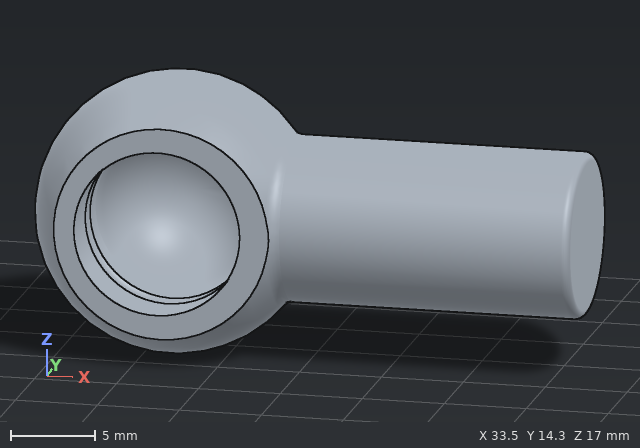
import cadquery as cq
import math

overall_length = 33.5
ball_diameter = 17.0
shank_diameter = 10.0
shank_end_round = 0.5
neck_fillet = 1.0
socket_diameter = 10.0
face_distance = 5.5
face_tilt = 2.5
groove_front_y = -2.7
groove_back_y = -1.45
groove_depth = 0.35

ball_radius = ball_diameter / 2
shank_radius = shank_diameter / 2
socket_radius = socket_diameter / 2
shank_end_x = overall_length - ball_radius


def make_body():
    """Ball, neck fillet and shank revolved about the X axis, ball centre at the origin."""
    fillet_center_y = shank_radius + neck_fillet
    fillet_center_x = math.sqrt((ball_radius + neck_fillet) ** 2 - fillet_center_y ** 2)
    tangent_share = ball_radius / (ball_radius + neck_fillet)
    ball_tangent = (fillet_center_x * tangent_share, fillet_center_y * tangent_share)

    tangent_angle = math.atan2(-fillet_center_y, -fillet_center_x)
    middle_angle = (tangent_angle - math.pi / 2) / 2
    fillet_middle = (
        fillet_center_x + neck_fillet * math.cos(middle_angle),
        fillet_center_y + neck_fillet * math.sin(middle_angle),
    )

    return (
        cq.Workplane("XY")
        .moveTo(-ball_radius, 0)
        .threePointArc((0, ball_radius), ball_tangent)
        .threePointArc(fillet_middle, (fillet_center_x, shank_radius))
        .lineTo(shank_end_x - shank_end_round, shank_radius)
        .radiusArc((shank_end_x, shank_radius - shank_end_round), shank_end_round)
        .lineTo(shank_end_x, 0)
        .close()
        .revolve(360, (0, 0, 0), (1, 0, 0))
    )


def cut_flat_face(body):
    """Cut the ball with a slightly tilted plane, leaving the shank whole."""
    cutter = (
        cq.Workplane("XY")
        .box(ball_diameter, ball_diameter, ball_diameter)
        .translate((0, -face_distance - ball_radius, 0))
        .rotate((0, 0, 0), (0, 0, 1), face_tilt)
    )
    return body.cut(cutter)


def make_socket():
    """Round-bottomed bore along Y with a ring groove in its wall."""
    bore = (
        cq.Workplane("XY")
        .moveTo(0, -ball_radius)
        .lineTo(socket_radius, -ball_radius)
        .lineTo(socket_radius, 0)
        .radiusArc((0, socket_radius), -socket_radius)
        .close()
        .revolve(360, (0, 0, 0), (0, 1, 0))
    )
    groove_middle_y = (groove_front_y + groove_back_y) / 2
    groove = (
        cq.Workplane("XY")
        .moveTo(0, groove_front_y)
        .lineTo(socket_radius, groove_front_y)
        .threePointArc((socket_radius + groove_depth, groove_middle_y), (socket_radius, groove_back_y))
        .lineTo(0, groove_back_y)
        .close()
        .revolve(360, (0, 0, 0), (0, 1, 0))
    )
    return bore.union(groove)


result = cut_flat_face(make_body()).cut(make_socket())